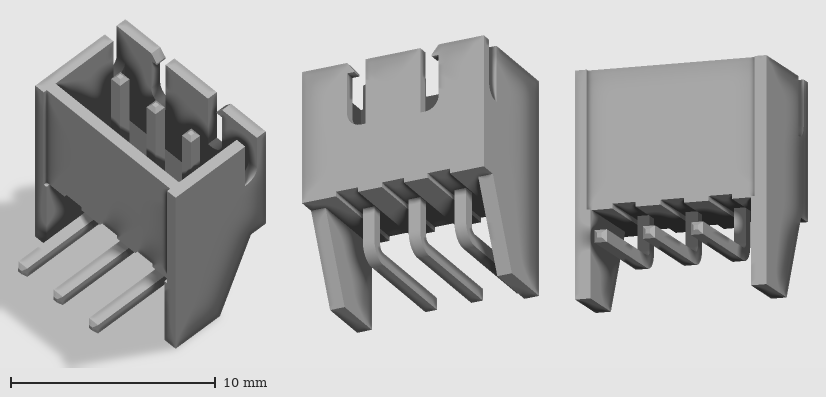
import cadquery as cq
import math


width = 9.9
height = 11.5
depth = 6.11
wall = 0.6
floor_bottom = 4.47
front_recess = 0.21
cavity_front = depth - front_recess - wall

leg_thickness = 0.79
leg_step = 1.0
leg_foot = 3.1

side_slot_depth = 2.99
back_slot_depth = 3.45
side_slot_width = 0.79
side_slot_radius = 0.68
back_slot_width = 1.0
back_slot_radius = 0.76
hook_reach = 0.38
hook_chamfer_drop = 0.46
hook_tip_height = 0.1

pin_count = 3
pin_pitch = 2.5
pin_size = 0.63
pin_tip_size = 0.24
pin_tip_length = 0.2
pin_offset = 2.7
pin_level = 2.29
pin_top = height
pin_end = 9.5
bend_inner_radius = 0.33

channel_width = 1.21
channel_depth = 0.24

side_slot_bottom = height - side_slot_depth
back_slot_bottom = height - back_slot_depth
pin_places = [(i - (pin_count - 1) / 2) * pin_pitch for i in range(pin_count)]


def block(x_range, y_range, z_range):
    """Box that fills the given ranges."""
    low, high = zip(x_range, y_range, z_range)
    size = [b - a for a, b in zip(low, high)]
    return cq.Workplane("XY").box(*size, centered=False).translate(low)


def side_plates():
    """Both side walls, each with its sloped leg, as one full-width prism."""
    return (
        cq.Workplane("YZ", origin=(-width / 2, 0, 0))
        .moveTo(0, height)
        .lineTo(0, floor_bottom)
        .lineTo(-leg_step, floor_bottom)
        .lineTo(-leg_foot, 0)
        .lineTo(-depth, 0)
        .lineTo(-depth, height)
        .close()
        .extrude(width)
    )


def side_slots():
    """Slots through both side walls, just in front of the back wall."""
    back = -wall
    front = back - side_slot_width
    return (
        cq.Workplane("YZ", origin=(-width / 2, 0, 0))
        .moveTo(back, height)
        .lineTo(back, side_slot_bottom + side_slot_radius)
        .radiusArc((back - side_slot_radius, side_slot_bottom), side_slot_radius)
        .lineTo(front, side_slot_bottom)
        .lineTo(front, height)
        .close()
        .extrude(width)
    )


def back_slot():
    """Right-hand slot through the back wall, shaped around the latch hook."""
    outer = pin_pitch
    inner = outer - back_slot_width
    hook_tip = outer - hook_reach
    tip_top = height - hook_chamfer_drop
    tip_bottom = tip_top - hook_tip_height
    return (
        cq.Workplane("XZ")
        .moveTo(inner, height)
        .lineTo(outer, height)
        .lineTo(hook_tip, tip_top)
        .lineTo(hook_tip, tip_bottom)
        .lineTo(outer, tip_bottom)
        .lineTo(outer, back_slot_bottom + back_slot_radius)
        .radiusArc((outer - back_slot_radius, back_slot_bottom), back_slot_radius)
        .lineTo(inner, back_slot_bottom)
        .close()
        .extrude(wall)
    )


def make_housing():
    half = width / 2
    cavity_half = half - wall
    leg_half = half - leg_thickness
    cavity = block(
        (-cavity_half, cavity_half),
        (-cavity_front, -wall),
        (floor_bottom + wall, height),
    )
    leg_gap = block((-leg_half, leg_half), (-depth, 0), (0, floor_bottom))
    recess = block(
        (-cavity_half, cavity_half),
        (-depth, front_recess - depth),
        (floor_bottom, height),
    )
    slot = back_slot()
    housing = (
        side_plates()
        .cut(cavity)
        .cut(leg_gap)
        .cut(recess)
        .cut(side_slots())
        .cut(slot)
        .cut(slot.mirror("YZ"))
    )
    for x in pin_places:
        channel = block(
            (x - channel_width / 2, x + channel_width / 2),
            (-depth, 0),
            (floor_bottom, floor_bottom + channel_depth),
        )
        housing = housing.cut(channel)
    return housing


def pin_tip(plane):
    """Tapered pin tip that rises from the given plane."""
    taper = math.degrees(math.atan((pin_size - pin_tip_size) / 2 / pin_tip_length))
    return cq.Workplane(plane).rect(pin_size, pin_size).extrude(pin_tip_length, taper=taper)


def make_pin(x):
    """Square pin that runs down through the floor and bends to the front."""
    bend_radius = bend_inner_radius + pin_size / 2
    shoulder_z = pin_top - pin_tip_length
    shoulder_y = pin_tip_length - pin_end
    path = (
        cq.Workplane("YZ", origin=(x, 0, 0))
        .moveTo(-pin_offset, shoulder_z)
        .lineTo(-pin_offset, pin_level + bend_radius)
        .radiusArc((-pin_offset - bend_radius, pin_level), bend_radius)
        .lineTo(shoulder_y, pin_level)
    )
    top_plane = cq.Plane(origin=(x, -pin_offset, shoulder_z), xDir=(1, 0, 0), normal=(0, 0, 1))
    end_plane = cq.Plane(origin=(x, shoulder_y, pin_level), xDir=(1, 0, 0), normal=(0, -1, 0))
    shaft = cq.Workplane(top_plane).rect(pin_size, pin_size).sweep(path)
    return shaft.union(pin_tip(top_plane)).union(pin_tip(end_plane))


pins = [make_pin(x) for x in pin_places]

housing = make_housing()
for pin in pins:
    housing = housing.cut(pin)

pin_solids = [pin.solids().val() for pin in pins]
result = cq.Compound.makeCompound([housing.solids().val(), *pin_solids])